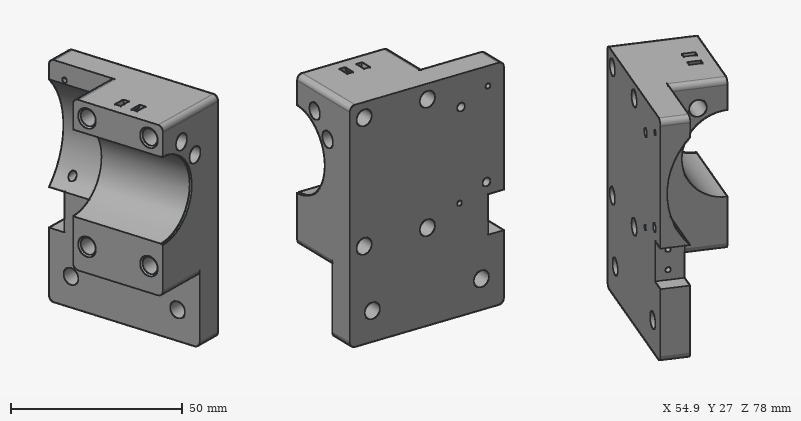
import cadquery as cq
import math

WIDTH = 54.9
DEPTH = 27.0
HEIGHT = 78.0
CORNER_RADIUS = 1.9

PLATE_THICKNESS = 9.05
PLATE_FRONT_Y = -PLATE_THICKNESS
FRONT_Y = -DEPTH
BLOCK_LEFT_X = 22.15
BLOCK_HEIGHT = 54.9

AXIS_Z = HEIGHT - 24.0
BORE_RADIUS = 14.0
GROOVE_RADIUS = 24.95
BORE_RELIEF_LENGTH = 0.7
BORE_RELIEF_STEP = 0.15

NOTCH_DEPTH = 5.6
NOTCH_HEIGHT = 13.0
GROOVE_LIP_OFFSET = math.sqrt(GROOVE_RADIUS**2 - (DEPTH - PLATE_THICKNESS) ** 2)
NOTCH_TOP_Z = AXIS_Z - GROOVE_LIP_OFFSET
NOTCH_MIDDLE_Z = NOTCH_TOP_Z - NOTCH_HEIGHT / 2

BOLT_DIAMETER = 5.4
CLAMP_BOLT_X = 38.5
CLAMP_BOLT_SPACING_X = 22.55
CLAMP_BOLT_TOP_Z = HEIGHT - 5.1
CLAMP_BOLT_SPACING_Z = 41.35
CLAMP_BOLT_CHAMFER = 0.55
PLATE_BOLT_X = 27.45
PLATE_BOLT_SPACING = 38.85
PLATE_BOLT_Z = 10.1

AXIAL_HOLE_CIRCLE_RADIUS = 18.1
AXIAL_HOLE_ANGLES = (30, 60)

PATTERN_X = 10.8
GROOVE_HOLE_DIAMETER = 2.7
GROOVE_HOLE_OFFSET_X = 4.5
GROOVE_HOLE_OFFSET_Z = 13.25
SMALL_DIAMETER = 1.6
SMALL_HOLE_OFFSET_X = 5.1
SMALL_HOLE_OFFSET_Z = 18.65
SMALL_HOLE_TILT = 7.0

NOTCH_HOLE_SPACING = 6.55
NOTCH_HOLE_Y = -4.0
NOTCH_HOLE_DEPTH = 9.35

CHANNEL_X = CLAMP_BOLT_X
CHANNEL_OUTER_RADIUS = 4.05
CHANNEL_INNER_RADIUS = 1.95
CHANNEL_BACK_Y = -18.95
CHANNEL_WIDTH = 4.1

OVERCUT = 0.8


def box(x_min, x_max, y_min, y_max, z_min, z_max):
    size = (x_max - x_min, y_max - y_min, z_max - z_min)
    return cq.Workplane("XY").box(*size, centered=False).translate((x_min, y_min, z_min))


def rod(start, direction, diameter, length):
    return cq.Workplane(
        cq.Solid.makeCylinder(diameter / 2, length, cq.Vector(*start), cq.Vector(*direction))
    )


def body():
    plate = box(0, WIDTH, PLATE_FRONT_Y, 0, 0, HEIGHT)
    block = box(BLOCK_LEFT_X, WIDTH, FRONT_Y, 0, HEIGHT - BLOCK_HEIGHT, HEIGHT)
    plate = plate.edges("|Y").fillet(CORNER_RADIUS)
    block = block.edges("|Y").fillet(CORNER_RADIUS)
    return plate.union(block)


def round_channels():
    along_x = (1, 0, 0)
    bore = rod((0, FRONT_Y, AXIS_Z), along_x, 2 * BORE_RADIUS, WIDTH)
    groove = rod((0, FRONT_Y, AXIS_Z), along_x, 2 * GROOVE_RADIUS, BLOCK_LEFT_X)
    relief_start = (WIDTH - BORE_RELIEF_LENGTH, FRONT_Y, AXIS_Z)
    relief = rod(relief_start, along_x, 2 * (BORE_RADIUS + BORE_RELIEF_STEP), BORE_RELIEF_LENGTH)
    return bore.union(groove).union(relief)


def notch():
    return box(0, NOTCH_DEPTH, PLATE_FRONT_Y, 0, NOTCH_TOP_Z - NOTCH_HEIGHT, NOTCH_TOP_Z)


def cross_hole(x, z, diameter):
    """Hole straight through the whole depth along Y."""
    return rod((x, FRONT_Y, z), (0, 1, 0), diameter, DEPTH)


def clamp_bolt_hole(x, z):
    """Through hole with a chamfered mouth on the front face."""
    radius = BOLT_DIAMETER / 2
    mouth = cq.Solid.makeCone(
        radius + CLAMP_BOLT_CHAMFER,
        radius,
        CLAMP_BOLT_CHAMFER,
        cq.Vector(x, FRONT_Y, z),
        cq.Vector(0, 1, 0),
    )
    return cross_hole(x, z, BOLT_DIAMETER).union(cq.Workplane(mouth))


def tilted_hole(side):
    """Small plate hole that leans toward the groove axis; side is 1 above the axis, -1 below."""
    rise = -side * math.tan(math.radians(SMALL_HOLE_TILT))
    x = PATTERN_X - side * SMALL_HOLE_OFFSET_X
    z = AXIS_Z + side * SMALL_HOLE_OFFSET_Z
    start = (x, PLATE_FRONT_Y - OVERCUT, z - rise * OVERCUT)
    length = (PLATE_THICKNESS + 2 * OVERCUT) * math.hypot(1, rise)
    return rod(start, (0, 1, rise), SMALL_DIAMETER, length)


def axial_hole(angle):
    y = FRONT_Y + AXIAL_HOLE_CIRCLE_RADIUS * math.cos(math.radians(angle))
    z = AXIS_Z + AXIAL_HOLE_CIRCLE_RADIUS * math.sin(math.radians(angle))
    return rod((BLOCK_LEFT_X, y, z), (1, 0, 0), BOLT_DIAMETER, WIDTH - BLOCK_LEFT_X)


def tie_channel():
    start = (CHANNEL_X, CHANNEL_BACK_Y - CHANNEL_WIDTH, HEIGHT)
    along_y = (0, 1, 0)
    outer = rod(start, along_y, 2 * CHANNEL_OUTER_RADIUS, CHANNEL_WIDTH)
    inner = rod(start, along_y, 2 * CHANNEL_INNER_RADIUS, CHANNEL_WIDTH)
    return outer.cut(inner)


result = body().cut(round_channels()).cut(notch()).cut(tie_channel())

for side in (-1, 1):
    clamp_x = CLAMP_BOLT_X + side * CLAMP_BOLT_SPACING_X / 2
    for clamp_z in (CLAMP_BOLT_TOP_Z, CLAMP_BOLT_TOP_Z - CLAMP_BOLT_SPACING_Z):
        result = result.cut(clamp_bolt_hole(clamp_x, clamp_z))

    plate_x = PLATE_BOLT_X + side * PLATE_BOLT_SPACING / 2
    result = result.cut(cross_hole(plate_x, PLATE_BOLT_Z, BOLT_DIAMETER))

    groove_hole_x = PATTERN_X + side * GROOVE_HOLE_OFFSET_X
    groove_hole_z = AXIS_Z + side * GROOVE_HOLE_OFFSET_Z
    result = result.cut(cross_hole(groove_hole_x, groove_hole_z, GROOVE_HOLE_DIAMETER))
    result = result.cut(tilted_hole(side))

    notch_hole_z = NOTCH_MIDDLE_Z + side * NOTCH_HOLE_SPACING / 2
    notch_hole_start = (NOTCH_DEPTH, NOTCH_HOLE_Y, notch_hole_z)
    result = result.cut(rod(notch_hole_start, (1, 0, 0), SMALL_DIAMETER, NOTCH_HOLE_DEPTH))

for angle in AXIAL_HOLE_ANGLES:
    result = result.cut(axial_hole(angle))